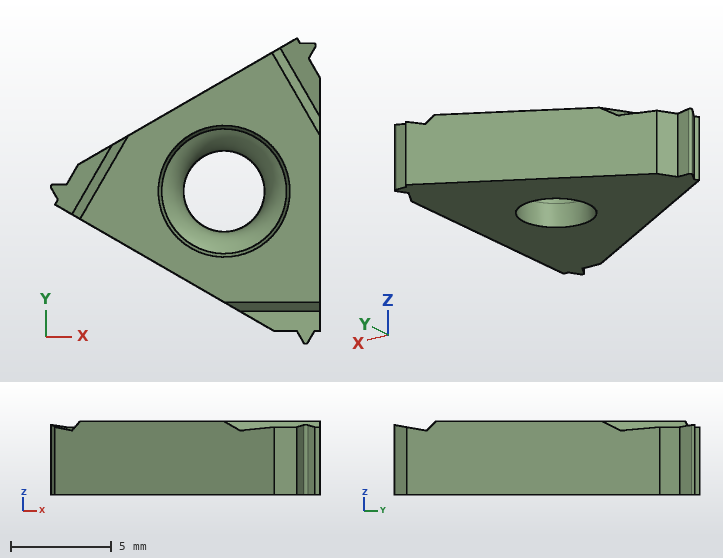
import cadquery as cq
import math

thickness = 3.65
inscribed_radius = 9.525 / 2
corner_count = 3
corner_step = 360 / corner_count

shoulder_distance = 6.927
tooth_x = 4.04
tooth_height = 0.635
tooth_tip_radius = 0.125
tooth_half_angle = math.radians(30)

breaker_start = 5.49
breaker_depth = 0.465
rake_angle = math.radians(10)
breaker_half_length = 8.0
breaker_overrun = 1.0

mouth_radius = 3.26
seat_radius = 3.09
bore_radius = 2.0
mouth_depth = 0.59
seat_curve_radius = 2.0


def rotated(point, angle_degrees):
    """Turn an XY point about the Z axis."""
    angle = math.radians(angle_degrees)
    x, y = point
    return (
        x * math.cos(angle) - y * math.sin(angle),
        x * math.sin(angle) + y * math.cos(angle),
    )


def corner_points():
    """Points of the -Y corner, running from its left side to its right side."""
    tip_y = -(shoulder_distance + tooth_height)
    tip_centre_y = tip_y + tooth_tip_radius
    sharp_height = tooth_height + tooth_tip_radius * (1 / math.sin(tooth_half_angle) - 1)
    half_base = sharp_height * math.tan(tooth_half_angle)
    half_arc = tooth_tip_radius * math.cos(tooth_half_angle)
    arc_end_y = tip_centre_y - tooth_tip_radius * math.sin(tooth_half_angle)
    side_angle = math.radians(-corner_step)
    shoulder_left_x = (
        inscribed_radius + shoulder_distance * math.sin(side_angle)
    ) / math.cos(side_angle)
    return {
        "shoulder_left": (shoulder_left_x, -shoulder_distance),
        "tooth_left": (tooth_x - half_base, -shoulder_distance),
        "arc_start": (tooth_x - half_arc, arc_end_y),
        "tip": (tooth_x, tip_y),
        "arc_end": (tooth_x + half_arc, arc_end_y),
        "tooth_right": (tooth_x + half_base, -shoulder_distance),
        "shoulder_right": (inscribed_radius, -shoulder_distance),
    }


def make_body():
    """Triangular prism with a tooth at every corner."""
    corner = corner_points()
    outline = cq.Workplane("XY").moveTo(*corner["shoulder_left"])
    for index in range(corner_count):
        turned = {name: rotated(point, index * corner_step) for name, point in corner.items()}
        if index > 0:
            outline = outline.lineTo(*turned["shoulder_left"])
        outline = (
            outline.lineTo(*turned["tooth_left"])
            .lineTo(*turned["arc_start"])
            .threePointArc(turned["tip"], turned["arc_end"])
            .lineTo(*turned["tooth_right"])
            .lineTo(*turned["shoulder_right"])
        )
    return outline.close().extrude(thickness)


def make_breaker():
    """Cutter for the chip breaker of the -Y corner, profiled in the YZ plane."""
    wall_start = breaker_start - breaker_overrun
    root = breaker_start + breaker_depth
    outer = shoulder_distance + tooth_height + breaker_overrun
    root_z = thickness - breaker_depth
    outer_z = root_z + (outer - root) * math.tan(rake_angle)
    wall_top_z = thickness + breaker_overrun
    return (
        cq.Workplane("YZ")
        .moveTo(-wall_start, wall_top_z)
        .lineTo(-root, root_z)
        .lineTo(-outer, outer_z)
        .lineTo(-outer, wall_top_z)
        .close()
        .extrude(breaker_half_length, both=True)
    )


def make_hole():
    """Cutter for the screw hole; the rounded seat runs tangent into the bore."""
    seat_width = seat_radius - bore_radius
    seat_angle = math.acos(1 - seat_width / seat_curve_radius)
    seat_top_z = thickness - mouth_depth
    seat_bottom_z = seat_top_z - seat_curve_radius * math.sin(seat_angle)
    seat_middle = (
        bore_radius + seat_curve_radius * (1 - math.cos(seat_angle / 2)),
        seat_bottom_z + seat_curve_radius * math.sin(seat_angle / 2),
    )
    return (
        cq.Workplane("XZ")
        .moveTo(0, 0)
        .lineTo(bore_radius, 0)
        .lineTo(bore_radius, seat_bottom_z)
        .threePointArc(seat_middle, (seat_radius, seat_top_z))
        .lineTo(mouth_radius, thickness)
        .lineTo(0, thickness)
        .close()
        .revolve(360, (0, 0, 0), (0, 1, 0))
    )


result = make_body().cut(make_hole())
breaker = make_breaker()
for corner_index in range(corner_count):
    result = result.cut(breaker.rotate((0, 0, 0), (0, 0, 1), corner_index * corner_step))